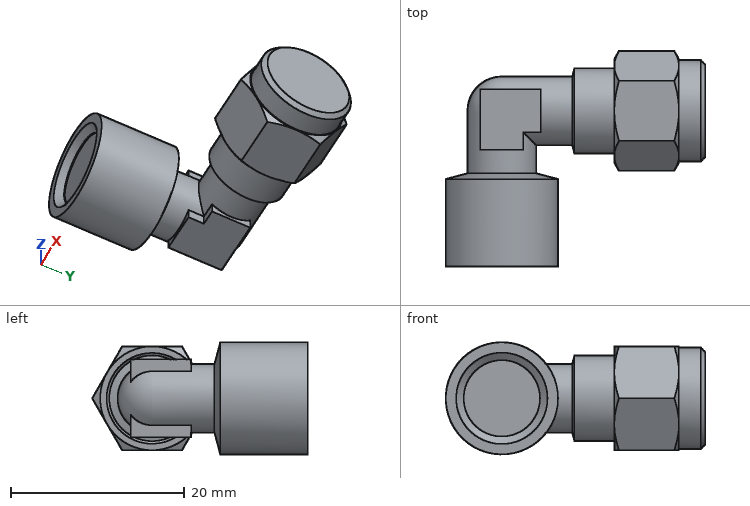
import cadquery as cq
import math

tube_radius = 4.0
cone_angle = math.radians(15)

socket_radius = 13.0 / 2
socket_shoulder_start = 7.2
socket_end = 18.0
mouth_radius = 5.28
recess_floor_radius = 4.4
recess_depth = 1.0

collar_radius = 4.95
collar_start = 8.13
hex_start = 13.0
hex_end = 20.45
hex_across_flats = 12.0
countersink_radius = 5.25
hex_corner_radius = hex_across_flats / math.sqrt(3)
hex_chamfer_angle = math.radians(30)
tail_radius = 5.88
tail_chamfer = 0.55
overall_length = 30.0
tail_end = overall_length - socket_radius

pad_height = 9.0
pad_inner = 2.5
pad_reach = 4.5


def shoulder_length(outer_radius):
    """Axial length of the cone from the tube up to outer_radius."""
    return (outer_radius - tube_radius) * math.tan(cone_angle)


def revolve_about_x(points):
    return cq.Workplane("XY").polyline(points).close().revolve(360, (0, 0), (1, 0))


def make_socket_leg():
    shoulder_end = socket_shoulder_start + shoulder_length(socket_radius)
    mouth_depth = mouth_radius - recess_floor_radius
    profile = [
        (0, 0),
        (tube_radius, 0),
        (tube_radius, -socket_shoulder_start),
        (socket_radius, -shoulder_end),
        (socket_radius, -socket_end),
        (mouth_radius, -socket_end),
        (recess_floor_radius, -socket_end + mouth_depth),
        (recess_floor_radius, -socket_end + recess_depth),
        (0, -socket_end + recess_depth),
    ]
    return cq.Workplane("XY").polyline(profile).close().revolve(360, (0, 0), (0, 1))


def make_collar_leg():
    return revolve_about_x([
        (0, 0),
        (0, tube_radius),
        (collar_start, tube_radius),
        (collar_start + shoulder_length(collar_radius), collar_radius),
        (hex_end, collar_radius),
        (hex_end, tail_radius),
        (tail_end - tail_chamfer, tail_radius),
        (tail_end, tail_radius - tail_chamfer),
        (tail_end, 0),
    ])


def make_hexagon():
    """Hexagon with corners on +Y and -Y and both ends turned to a cone."""
    prism = (
        cq.Workplane("YZ", origin=(hex_start, 0, 0))
        .polygon(6, 2 * hex_corner_radius)
        .extrude(hex_end - hex_start)
    )
    flat_radius = hex_across_flats / 2
    corner_cut = (hex_corner_radius - flat_radius) * math.tan(hex_chamfer_angle)
    turned_envelope = revolve_about_x([
        (hex_start, 0),
        (hex_start, flat_radius),
        (hex_start + corner_cut, hex_corner_radius),
        (hex_end - corner_cut, hex_corner_radius),
        (hex_end, flat_radius),
        (hex_end, 0),
    ])
    return prism.intersect(turned_envelope)


def make_pads():
    outline = [
        (-pad_inner, pad_inner),
        (pad_reach, pad_inner),
        (pad_reach, -pad_inner),
        (pad_inner, -pad_inner),
        (pad_inner, -pad_reach),
        (-pad_inner, -pad_reach),
    ]
    return cq.Workplane("XY").polyline(outline).close().extrude(pad_height / 2, both=True)


def make_countersink():
    """Ring-shaped cutter that tapers down to the collar surface."""
    return revolve_about_x([
        (hex_start, collar_radius),
        (hex_start, countersink_radius),
        (hex_start + countersink_radius - collar_radius, collar_radius),
    ])


bend = cq.Workplane("XY").sphere(tube_radius)
result = (
    make_socket_leg()
    .union(make_collar_leg())
    .union(bend)
    .union(make_hexagon())
    .union(make_pads())
    .cut(make_countersink())
)